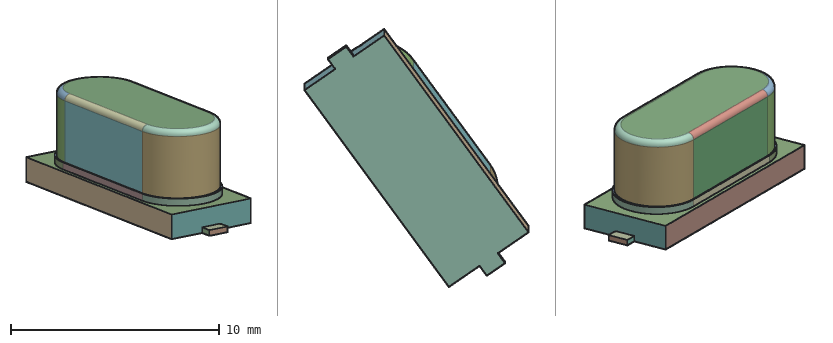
import cadquery as cq

total_length = 13.2
total_height = 5.0

base_length = 12.0
base_width = 4.7
base_height = 1.24

flange_length = 10.8
flange_width = 4.25
flange_height = 0.35

can_length = 10.55
can_width = 4.16
can_edge_radius = 0.3

lead_width = 1.08
lead_height = 0.29


def stadium(length, width, bottom, height):
    """Upright round-ended block with its long side along X."""
    return (
        cq.Workplane("XY")
        .workplane(offset=bottom)
        .slot2D(length, width)
        .extrude(height)
    )


def block(length, width, height):
    """Box centred in X and Y, standing on Z = 0."""
    return cq.Workplane("XY").box(length, width, height, centered=(True, True, False))


base = block(base_length, base_width, base_height)
leads = block(total_length, lead_width, lead_height)
flange = stadium(flange_length, flange_width, base_height, flange_height)

can_bottom = base_height + flange_height
can = stadium(can_length, can_width, can_bottom, total_height - can_bottom)
can = can.faces(">Z").edges().fillet(can_edge_radius)

result = base.union(leads).union(flange).union(can)